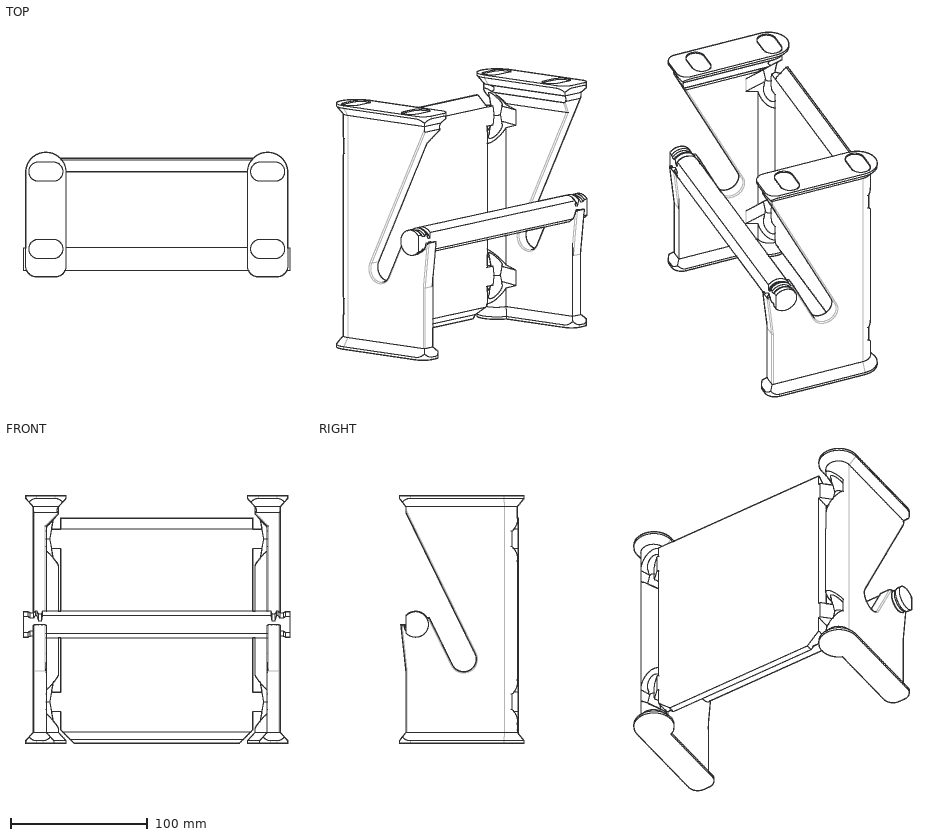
import cadquery as cq
import math

BAR_LENGTH = 195.0
HEIGHT = 181.2
DEPTH = 91.3

COLUMN_X = 81.1
COLUMN_RADIUS = 9.4
COLUMN_Y = 31.4
WALL_OUTER_X = COLUMN_X + COLUMN_RADIUS
WALL_INNER_X = 80.7
BLOCK_INNER_X = COLUMN_X - COLUMN_RADIUS
WALL_FRONT_Y = -41.0
WALL_EDGE_FILLET = 1.0
PICK_MARGIN = 2.0

FLANGE_HEIGHT = 8.0
RIM_HEIGHT = 2.0
FLANGE_OVERHANG = 5.5
FLANGE_CORNER_RADIUS = 8.0
FLANGE_RADIUS = COLUMN_RADIUS + FLANGE_OVERHANG
FLANGE_FRONT_Y = -DEPTH / 2
FLANGE_Y = DEPTH / 2 - FLANGE_RADIUS
BLOCK_BOTTOM_Z = 167.9
GROOVE_RADIUS = 3.1
GROOVE_DEPTH = 1.2

PAD_LENGTH = 25.0
PAD_WIDTH = 14.0
PAD_DEPTH = 1.0
PAD_YS = (-25.2, 31.4)

SLOT_RADIUS = 9.2
SLOT_END_Y = 1.4
SLOT_END_Z = 61.6
SLOT_ANGLE = 63.9
SADDLE_PEAK_Z = 92.0
LIP_TOP_Z = 86.8
LIP_FRONT_Y = -44.7
LIP_START_Z = 53.0

BAR_RADIUS = 9.8
BAR_END_RADIUS = 9.4
BAR_Y = -33.7
BAR_Z = 87.0
BAR_FLAT_DISTANCE = 7.2
SHALLOW_NECK_RADIUS = 8.5
DEEP_NECK_RADIUS = 7.6
DEEP_NECK_START, DEEP_NECK_END = 84.2, 86.4
DEEP_NECK_INNER_SLOPE = 0.5
COLLAR_START, COLLAR_END = 87.8, 88.7
SHALLOW_NECK_START, SHALLOW_NECK_END = 90.0, 92.6
BAR_END_START = 94.2

PLATE_WIDTH = 140.5
PLATE_FRONT_Y = 31.2
PLATE_BACK_Y = 41.3
PLATE_TOP_Z = 164.8
TOP_BEVEL_DEPTH = 8.8
TOP_BEVEL_HEIGHT = 8.0
BOTTOM_BEVEL = 5.3
BOTTOM_EDGE_HEIGHT = 3.0
PLATE_CORNER = 10.0

HINGE_ZS = (30.5, 149.5)
TAB_HEIGHT = 14.2
TAB_END_X = 81.7
ROD_WAIST_RADIUS = 3.0
ROD_FLARE = 0.18
NOTCH_ANGLE = 18.0
NOTCH_DEPTH = 5.5
NOTCH_HALF_HEIGHT = 11.1
NOTCH_REACH = 23.4
NOTCH_SPAN = 78.0


def mirrored(solid):
    return solid.mirror("YZ")


def d_wire(inner_x, outer_x, front_y, center_y, z):
    """Rectangle in plan whose back edge is a half circle."""
    radius = (outer_x - inner_x) / 2
    return (
        cq.Workplane("XY", origin=(0, 0, z))
        .moveTo(inner_x, front_y)
        .lineTo(outer_x, front_y)
        .lineTo(outer_x, center_y)
        .threePointArc((outer_x - radius, center_y + radius), (inner_x, center_y))
        .close()
        .wires()
        .val()
    )


def box_between(x0, x1, y0, y1, z0, z1):
    return cq.Workplane("XY").box(x1 - x0, y1 - y0, z1 - z0, centered=False).translate((x0, y0, z0))


def round_front_corners(body):
    return body.edges("|Z and <Y").fillet(FLANGE_CORNER_RADIUS)


def flared(narrow_wire, wide_wire):
    return cq.Workplane(cq.Solid.makeLoft([narrow_wire, wide_wire], True))


def upper_flange():
    taper_bottom = HEIGHT - FLANGE_HEIGHT
    rim_bottom = HEIGHT - RIM_HEIGHT
    inner_x = COLUMN_X - FLANGE_RADIUS
    outer_x = COLUMN_X + FLANGE_RADIUS
    narrow = d_wire(BLOCK_INNER_X, WALL_OUTER_X, WALL_FRONT_Y, COLUMN_Y, taper_bottom)
    wide = d_wire(inner_x, outer_x, FLANGE_FRONT_Y, FLANGE_Y, rim_bottom)
    rim = cq.Workplane(cq.Solid.extrudeLinear(wide, [], cq.Vector(0, 0, RIM_HEIGHT)))
    envelope = box_between(inner_x, outer_x, FLANGE_FRONT_Y, DEPTH / 2, taper_bottom, HEIGHT)
    flange = flared(narrow, wide).union(rim).intersect(round_front_corners(envelope))
    pads = (
        cq.Workplane("XY", origin=(COLUMN_X, 0, HEIGHT - PAD_DEPTH))
        .pushPoints([(0, y) for y in PAD_YS])
        .slot2D(PAD_LENGTH, PAD_WIDTH)
        .extrude(PAD_DEPTH)
    )
    return flange.cut(pads)


def plan_rectangle(inner_x, outer_x, front_y, back_y, z):
    corners = [(inner_x, front_y), (outer_x, front_y), (outer_x, back_y), (inner_x, back_y)]
    return cq.Workplane("XY", origin=(0, 0, z)).polyline(corners).close().wires().val()


def plan_circle(radius, y, z):
    return cq.Wire.makeCircle(radius, cq.Vector(COLUMN_X, y, z), cq.Vector(0, 0, 1))


def lower_flange():
    inner_x = WALL_INNER_X - FLANGE_OVERHANG
    outer_x = COLUMN_X + FLANGE_RADIUS
    wall_top = plan_rectangle(WALL_INNER_X, WALL_OUTER_X, WALL_FRONT_Y, COLUMN_Y, FLANGE_HEIGHT)
    wall_rim = plan_rectangle(inner_x, outer_x, FLANGE_FRONT_Y, FLANGE_Y, RIM_HEIGHT)
    rim_down = cq.Vector(0, 0, -RIM_HEIGHT)
    wall_foot = flared(wall_top, wall_rim).union(
        cq.Workplane(cq.Solid.extrudeLinear(wall_rim, [], rim_down))
    )
    envelope = box_between(inner_x, outer_x, FLANGE_FRONT_Y, DEPTH / 2, 0, FLANGE_HEIGHT)
    wall_foot = wall_foot.intersect(round_front_corners(envelope))
    column_top = plan_circle(COLUMN_RADIUS, COLUMN_Y, FLANGE_HEIGHT)
    column_rim = plan_circle(FLANGE_RADIUS, FLANGE_Y, RIM_HEIGHT)
    column_foot = flared(column_top, column_rim).union(
        cq.Workplane(cq.Solid.extrudeLinear(column_rim, [], rim_down))
    )
    return wall_foot.union(column_foot)


def slot_opening():
    """Everything in front of the sloping edge and above the saddle, across the full width."""
    angle = math.radians(SLOT_ANGLE)
    normal_y = SLOT_RADIUS * math.sin(angle)
    normal_z = SLOT_RADIUS * math.cos(angle)
    slope = math.tan(angle)
    upper_y, upper_z = SLOT_END_Y + normal_y, SLOT_END_Z + normal_z
    lower_y, lower_z = SLOT_END_Y - normal_y, SLOT_END_Z - normal_z
    arc_bottom = (SLOT_END_Y + SLOT_RADIUS * math.cos(angle), SLOT_END_Z - SLOT_RADIUS * math.sin(angle))
    clear_y = -DEPTH / 2
    return (
        cq.Workplane("YZ")
        .moveTo(lower_y, lower_z)
        .threePointArc(arc_bottom, (upper_y, upper_z))
        .lineTo(clear_y, upper_z + (upper_y - clear_y) * slope)
        .lineTo(clear_y, LIP_TOP_Z)
        .lineTo(BAR_Y, LIP_TOP_Z)
        .lineTo(BAR_Y, SADDLE_PEAK_Z)
        .lineTo(lower_y - (SADDLE_PEAK_Z - lower_z) / slope, SADDLE_PEAK_Z)
        .close()
        .extrude(BAR_LENGTH / 2)
    )


def wall(opening):
    outline = [
        (COLUMN_Y, RIM_HEIGHT),
        (WALL_FRONT_Y, RIM_HEIGHT),
        (WALL_FRONT_Y, LIP_START_Z),
        (LIP_FRONT_Y, LIP_TOP_Z),
        (WALL_FRONT_Y, LIP_TOP_Z),
        (WALL_FRONT_Y, HEIGHT - RIM_HEIGHT),
        (COLUMN_Y, HEIGHT - RIM_HEIGHT),
    ]
    slab = (
        cq.Workplane("YZ", origin=(WALL_INNER_X, 0, 0))
        .polyline(outline)
        .close()
        .extrude(WALL_OUTER_X - WALL_INNER_X)
        .cut(opening)
    )
    wall_middle = cq.selectors.BoxSelector(
        (0, LIP_FRONT_Y - PICK_MARGIN, FLANGE_HEIGHT),
        (BAR_LENGTH, COLUMN_Y - PICK_MARGIN, BLOCK_BOTTOM_Z),
    )
    lower_front = cq.selectors.BoxSelector(
        (WALL_INNER_X - PICK_MARGIN, WALL_FRONT_Y - PICK_MARGIN, FLANGE_HEIGHT),
        (WALL_INNER_X + PICK_MARGIN, WALL_FRONT_Y + PICK_MARGIN, LIP_START_Z),
    )
    rims = slab.faces("<X or >X").edges(wall_middle - lower_front)
    return rims.fillet(WALL_EDGE_FILLET)


def top_block(opening):
    """Grooved full-width block below the upper flange, carried by a 45 degree bevel."""
    top_z = HEIGHT - FLANGE_HEIGHT
    bevel = WALL_INNER_X - BLOCK_INNER_X
    wall_middle_x = (WALL_INNER_X + WALL_OUTER_X) / 2
    outline = [
        (BLOCK_INNER_X, top_z),
        (BLOCK_INNER_X, BLOCK_BOTTOM_Z),
        (WALL_INNER_X, BLOCK_BOTTOM_Z - bevel),
        (wall_middle_x, BLOCK_BOTTOM_Z - bevel),
        (wall_middle_x, top_z),
    ]
    block = (
        cq.Workplane("XZ", origin=(0, COLUMN_Y, 0))
        .polyline(outline)
        .close()
        .extrude(COLUMN_Y - WALL_FRONT_Y)
        .cut(opening)
    )
    bevel_rim = cq.selectors.BoxSelector(
        (BLOCK_INNER_X + PICK_MARGIN, WALL_FRONT_Y, BLOCK_BOTTOM_Z - bevel),
        (WALL_INNER_X - PICK_MARGIN, COLUMN_Y - PICK_MARGIN, BLOCK_BOTTOM_Z),
    )
    block = block.edges(bevel_rim).fillet(WALL_EDGE_FILLET)
    groove_x = BLOCK_INNER_X + GROOVE_DEPTH - GROOVE_RADIUS
    groove = (
        cq.Workplane("XZ", origin=(groove_x, COLUMN_Y, (top_z + BLOCK_BOTTOM_Z) / 2))
        .circle(GROOVE_RADIUS)
        .extrude(COLUMN_Y - WALL_FRONT_Y)
    )
    return block.cut(groove)


def hinge_rod(z):
    """Rod on the column axis that narrows to a waist at height z."""
    half = NOTCH_HALF_HEIGHT + NOTCH_REACH / 2
    end_radius = ROD_WAIST_RADIUS + ROD_FLARE * half
    profile = [
        (0, -half),
        (end_radius, -half),
        (ROD_WAIST_RADIUS, 0),
        (end_radius, half),
        (0, half),
    ]
    rod = cq.Workplane("XZ").polyline(profile).close().revolve(360, (0, 0), (0, 1))
    return rod.translate((COLUMN_X, COLUMN_Y, z))


def hinge_notch(z):
    """Wedge with 45 degree sides that opens toward the plate and slightly backward."""
    floor_half = NOTCH_HALF_HEIGHT - NOTCH_DEPTH
    mouth_half = NOTCH_HALF_HEIGHT + NOTCH_REACH
    profile = [
        (NOTCH_DEPTH, -floor_half),
        (NOTCH_DEPTH, floor_half),
        (-NOTCH_REACH, mouth_half),
        (-NOTCH_REACH, -mouth_half),
    ]
    wedge = cq.Workplane("XZ").polyline(profile).close().extrude(NOTCH_SPAN / 2, both=True)
    wedge = wedge.rotate((0, 0, 0), (0, 0, 1), -NOTCH_ANGLE)
    return wedge.translate((COLUMN_X, COLUMN_Y, z)).cut(hinge_rod(z))


def bar_revolved():
    """Round bar along X with two necks near each end, before its front flat is cut."""
    steps = [
        (DEEP_NECK_START - DEEP_NECK_INNER_SLOPE, BAR_RADIUS),
        (DEEP_NECK_START, DEEP_NECK_RADIUS),
        (DEEP_NECK_END, DEEP_NECK_RADIUS),
        (COLLAR_START, BAR_RADIUS),
        (COLLAR_END, BAR_RADIUS),
        (SHALLOW_NECK_START, SHALLOW_NECK_RADIUS),
        (SHALLOW_NECK_END, SHALLOW_NECK_RADIUS),
        (BAR_END_START, BAR_END_RADIUS),
        (BAR_LENGTH / 2, BAR_END_RADIUS),
    ]
    left_steps = [(-x, radius) for x, radius in reversed(steps)]
    ends = [(BAR_LENGTH / 2, 0), (-BAR_LENGTH / 2, 0)]
    bar = cq.Workplane("XY").polyline(left_steps + steps + ends).close()
    return bar.revolve(360, (0, 0), (1, 0)).translate((0, BAR_Y, BAR_Z))


def side_frame():
    opening = slot_opening()
    column = (
        cq.Workplane("XY", origin=(COLUMN_X, COLUMN_Y, RIM_HEIGHT))
        .circle(COLUMN_RADIUS)
        .extrude(HEIGHT - 2 * RIM_HEIGHT)
    )
    frame = wall(opening).union(column).union(top_block(opening))
    for z in HINGE_ZS:
        frame = frame.cut(hinge_notch(z))
    frame = frame.union(upper_flange()).union(lower_flange())
    return frame.cut(bar_revolved())


def support_bar():
    flat_y = BAR_Y - BAR_FLAT_DISTANCE
    half = BAR_LENGTH / 2
    front = box_between(-half, half, flat_y - BAR_RADIUS, flat_y, BAR_Z - BAR_RADIUS, BAR_Z + BAR_RADIUS)
    return bar_revolved().cut(front)


def hinge_tab(z):
    """Tab on the +X side of the plate, cut back at 45 degrees and hollowed to fit the rod."""
    outline = [
        (0, PLATE_FRONT_Y),
        (TAB_END_X, PLATE_FRONT_Y),
        (TAB_END_X - (PLATE_BACK_Y - PLATE_FRONT_Y), PLATE_BACK_Y),
        (0, PLATE_BACK_Y),
    ]
    tab = cq.Workplane("XY", origin=(0, 0, z - TAB_HEIGHT / 2)).polyline(outline).close()
    return tab.extrude(TAB_HEIGHT).cut(hinge_rod(z))


def back_plate():
    outline = [
        (PLATE_FRONT_Y + BOTTOM_BEVEL, 0),
        (PLATE_FRONT_Y + BOTTOM_BEVEL, BOTTOM_EDGE_HEIGHT),
        (PLATE_FRONT_Y, BOTTOM_EDGE_HEIGHT + BOTTOM_BEVEL),
        (PLATE_FRONT_Y, PLATE_TOP_Z - TOP_BEVEL_HEIGHT),
        (PLATE_FRONT_Y + TOP_BEVEL_DEPTH, PLATE_TOP_Z),
        (PLATE_BACK_Y, PLATE_TOP_Z),
        (PLATE_BACK_Y, 0),
    ]
    plate = cq.Workplane("YZ").polyline(outline).close().extrude(PLATE_WIDTH / 2, both=True)
    half = PLATE_WIDTH / 2
    corner = [(half, 0), (half, PLATE_CORNER), (half - PLATE_CORNER, 0)]
    corner_cut = (
        cq.Workplane("XZ", origin=(0, PLATE_BACK_Y, 0))
        .polyline(corner)
        .close()
        .extrude(PLATE_BACK_Y - PLATE_FRONT_Y)
    )
    plate = plate.cut(corner_cut).cut(mirrored(corner_cut))
    for z in HINGE_ZS:
        tab = hinge_tab(z)
        plate = plate.union(tab).union(mirrored(tab))
    return plate


right_frame = side_frame()
left_frame = mirrored(right_frame)
bar = support_bar()
plate = back_plate()

bodies = [right_frame, left_frame, bar, plate]
result = cq.Compound.makeCompound([body.solids().val() for body in bodies])